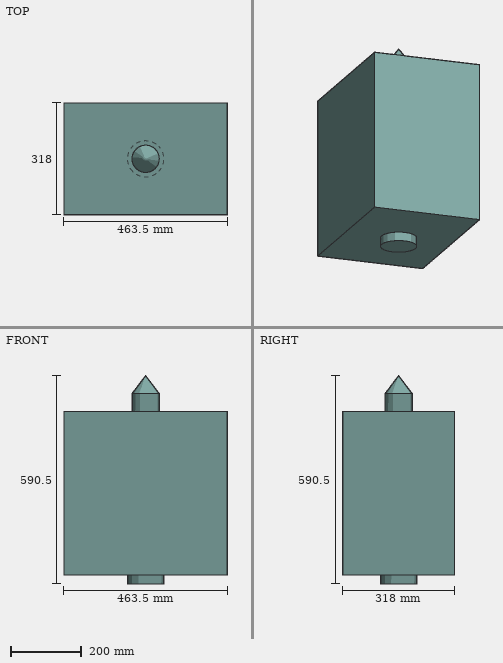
import cadquery as cq

overall_height = 590.5
body_width = 463.5
body_depth = 318.0
body_height = 463.5
foot_diameter = 103.0
foot_height = 25.5
pin_diameter = 77.5
pin_straight_height = 51.0

pin_radius = pin_diameter / 2
pin_height = overall_height - foot_height - body_height

body = cq.Workplane("XY").box(body_width, body_depth, body_height, centered=(True, True, False))

foot = cq.Workplane("XY").circle(foot_diameter / 2).extrude(-foot_height)

pin = (
    cq.Workplane("XZ")
    .lineTo(pin_radius, 0)
    .lineTo(pin_radius, pin_straight_height)
    .lineTo(0, pin_height)
    .close()
    .revolve(360, (0, 0, 0), (0, 1, 0))
    .translate((0, 0, body_height))
)

result = body.union(foot).union(pin)